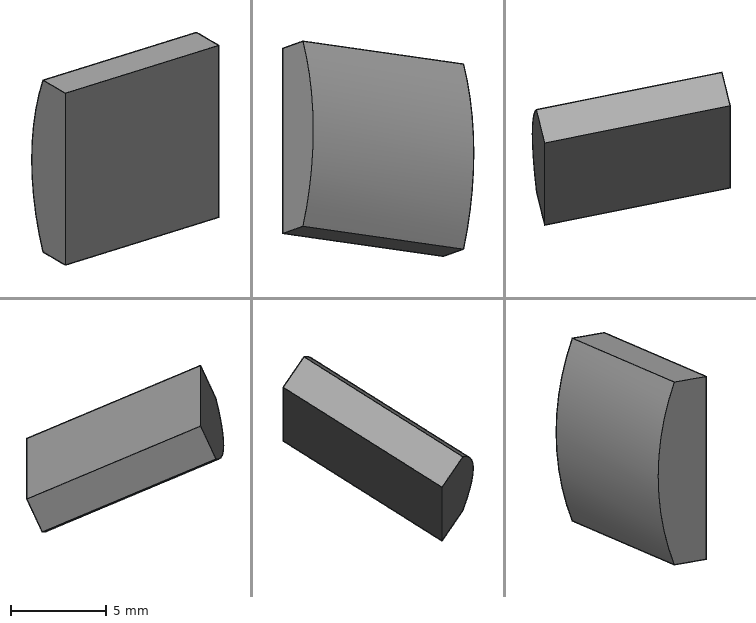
import cadquery as cq

side = 10.0
center_thickness = 3.01
edge_thickness = 2.0

half_side = side / 2
back_x = center_thickness / 2
crown_x = back_x - center_thickness
edge_x = back_x - edge_thickness

result = (
    cq.Workplane("XZ")
    .moveTo(back_x, -half_side)
    .lineTo(back_x, half_side)
    .lineTo(edge_x, half_side)
    .threePointArc((crown_x, 0), (edge_x, -half_side))
    .close()
    .extrude(half_side, both=True)
)